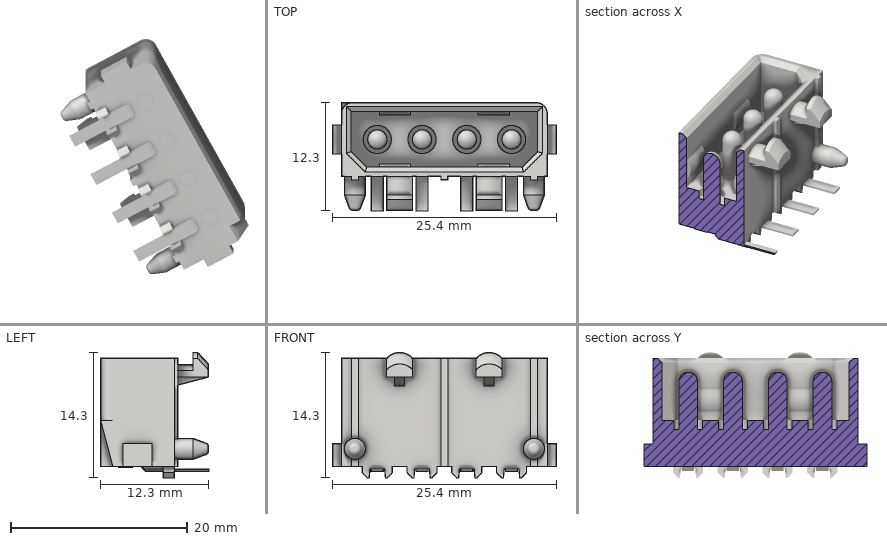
import cadquery as cq


overall_width = 25.4
ear_length = 1.02
housing_width = overall_width - 2 * ear_length
housing_depth = 8.38
housing_height = 12.3
side_x = housing_width / 2
back_y = housing_depth / 2
front_y = -back_y
corner_radius = 1.27

shoulder_height = 5.24
undercut_depth = 1.39
undercut_width = 2.0

floor_height = shoulder_height
cavity_half_width = 10.58
cavity_back_y = 3.18
cavity_front_y = -3.15
cavity_corner = 1.76
rim_corner = 2.15
lead_in_width = 0.56
lead_in_depth = 0.5

pitch = 5.08
contact_xs = [pitch * (i - 1.5) for i in range(4)]
pin_radius = 1.09
pin_tip_height = 10.73
pin_recess_radius = 1.6
pin_recess_depth = 1.0
tail_width = 1.38
tail_thickness = 0.25
tail_bend = 0.45
tail_back_y = -0.44
tail_front_y = -8.13

foot_half_width = 1.72
foot_depth = 1.3
foot_height = 1.32
foot_shoulder = 0.7
foot_tip_inner = 0.92
foot_slot_half_width = 0.82
web_height = 0.3
web_back_y = -0.7
pad_radius = 0.79
pad_height = 0.08
pad_y = 1.36

detent_xs = (-5.61, 5.61)
detent_length = 3.56
detent_bottom = 6.2
detent_top = 8.77
detent_rise = 0.39

rib_xs = (-2 * pitch, 0, 2 * pitch)
rib_width = 0.78
rib_depth = 0.39
ear_depth = 3.3
ear_height = 2.59
peg_xs = (-2 * pitch, 2 * pitch)
peg_z = 2.01
peg_radius = 1.2
peg_cone_y = -6.29
peg_tip_y = -8.05
peg_tip_radius = 0.55
peg_tip_fillet = 0.45

latch_xs = (-pitch, pitch)
latch_width = 2.96
latch_arch = 0.67
latch_bottom = 10.15
arm_top = 11.58
hook_top = 12.95
hook_back_y = -6.29
hook_crest_y = -6.83
hook_tip_y = -8.05
hook_tip_top = 11.65
gusset_width = 1.12
gusset_bottom = 9.14

overlap = 0.25


def box_between(x_range, y_range, z_range):
    """Axis-aligned box spanning the three ranges."""
    spans = [high - low for low, high in (x_range, y_range, z_range)]
    return cq.Workplane("XY").box(*spans, centered=False).translate((x_range[0], y_range[0], z_range[0]))


def centred_box(x, width, y_range, z_range):
    """Box centred on x with the given width."""
    return box_between((x - width / 2, x + width / 2), y_range, z_range)


def side_prism(x, width, points):
    """Prism along X, centred on x, with a (y, z) outline."""
    return cq.Workplane("YZ", origin=(x - width / 2, 0, 0)).polyline(points).close().extrude(width)


def make_housing():
    y_range = (front_y, back_y)
    lower = box_between((-side_x, side_x), y_range, (0, shoulder_height))
    lower = lower.edges("|Z and >X and >Y").fillet(corner_radius)
    upper = box_between((-side_x, side_x), y_range, (shoulder_height, housing_height))
    upper = upper.edges("|Z and >Y").fillet(corner_radius)
    undercut = side_prism(
        -side_x + undercut_width / 2,
        undercut_width,
        [(back_y, shoulder_height), (back_y, 0), (back_y - undercut_depth, 0)],
    )
    return lower.union(upper).cut(undercut)


def cavity_outline(z, corner, growth=0.0):
    """Rectangular wire at height z with its two front corners cut off at 45 degrees."""
    half_width = cavity_half_width + growth
    rear_y = cavity_back_y + growth
    face_y = cavity_front_y - growth
    points = [
        (-half_width, rear_y),
        (-half_width, face_y + corner),
        (-half_width + corner, face_y),
        (half_width - corner, face_y),
        (half_width, face_y + corner),
        (half_width, rear_y),
    ]
    return cq.Workplane("XY", origin=(0, 0, z)).polyline(points).close().wire().val()


def ruled_solid(first_wire, second_wire):
    return cq.Workplane(obj=cq.Solid.makeLoft([first_wire, second_wire], True))


def make_cavity():
    """Six-sided pocket with a flared lead-in at the rim."""
    lead_in_z = housing_height - lead_in_depth
    floor = cavity_outline(floor_height, cavity_corner)
    throat = cavity_outline(lead_in_z, cavity_corner)
    rim = cavity_outline(housing_height, rim_corner, lead_in_width)
    return ruled_solid(floor, throat).union(ruled_solid(throat, rim))


def make_detent(x, wall_y, inward):
    """Bump with a circular-segment section; inward is the Y direction it bulges."""
    middle_z = (detent_bottom + detent_top) / 2
    buried_y = wall_y - inward * overlap
    return (
        cq.Workplane("YZ", origin=(x - detent_length / 2, 0, 0))
        .moveTo(buried_y, detent_bottom)
        .lineTo(wall_y, detent_bottom)
        .threePointArc((wall_y + inward * detent_rise, middle_z), (wall_y, detent_top))
        .lineTo(buried_y, detent_top)
        .close()
        .extrude(detent_length)
    )


def make_pin_recess(x):
    plane = cq.Workplane("XY", origin=(x, 0, floor_height - pin_recess_depth))
    return plane.circle(pin_recess_radius).extrude(pin_recess_depth)


def make_contact(x):
    """Round-nosed pin and flat tail."""
    pin_base = floor_height - pin_recess_depth - overlap
    pin = cq.Workplane("XY", origin=(x, 0, pin_base)).circle(pin_radius).extrude(
        pin_tip_height - pin_radius - pin_base
    )
    nose = cq.Workplane("XY").sphere(pin_radius).translate((x, 0, pin_tip_height - pin_radius))
    tail_bottom = -web_height - tail_thickness
    tail = side_prism(x, tail_width, [
        (tail_back_y, overlap),
        (tail_back_y, tail_bottom + tail_bend),
        (tail_back_y - tail_bend, tail_bottom),
        (tail_front_y, tail_bottom),
        (tail_front_y, -web_height),
        (web_back_y, -web_height),
        (web_back_y, overlap),
    ])
    return pin.union(nose).union(tail)


def make_foot(x):
    """Pair of pointed standoffs joined by a thin web above the tail."""
    foot_tip_outer = foot_half_width - (foot_height - foot_shoulder)
    right_side = [
        (foot_slot_half_width, -web_height),
        (foot_tip_inner, -foot_height),
        (foot_tip_outer, -foot_height),
        (foot_half_width, -foot_shoulder),
        (foot_half_width, overlap),
    ]
    left_side = [(-x_offset, z) for x_offset, z in reversed(right_side)]
    plane = cq.Workplane("XZ", origin=(x, front_y + foot_depth, 0))
    feet = plane.polyline(left_side + right_side).close().extrude(foot_depth)
    web = centred_box(x, 2 * foot_slot_half_width, (front_y, web_back_y), (-web_height, overlap))
    pad_plane = cq.Workplane("XY", origin=(x, pad_y, -pad_height))
    pad = pad_plane.circle(pad_radius).extrude(pad_height + overlap)
    return feet.union(web).union(pad)


def make_rib(x):
    return centred_box(x, rib_width, (front_y - rib_depth, front_y + overlap), (0, housing_height))


def make_ears():
    return centred_box(0, overall_width, (-ear_depth / 2, ear_depth / 2), (0, ear_height))


def make_peg(x):
    """Cylindrical locating peg with a tapered, rounded tip."""
    base_y = front_y + overlap
    profile = [
        (0, base_y),
        (peg_radius, base_y),
        (peg_radius, peg_cone_y),
        (peg_tip_radius, peg_tip_y),
        (0, peg_tip_y),
    ]
    peg = cq.Workplane("XY").polyline(profile).close().revolve(360, (0, 0, 0), (0, 1, 0))
    return peg.faces("<Y").edges().fillet(peg_tip_fillet).translate((x, 0, peg_z))


def arched_section(x, y, top):
    """Wire in the XZ plane at y: flat bottom, upright sides, arched top."""
    half = latch_width / 2
    return (
        cq.Workplane("XZ", origin=(x, y, 0))
        .moveTo(-half, latch_bottom)
        .lineTo(half, latch_bottom)
        .lineTo(half, top - latch_arch)
        .threePointArc((0, top), (-half, top - latch_arch))
        .close()
        .wire()
        .val()
    )


def arched_bar(x, start, end):
    """Ruled bar between two arched sections, each given as (y, top)."""
    return ruled_solid(arched_section(x, *start), arched_section(x, *end))


def make_latch(x):
    arm = arched_bar(x, (front_y + overlap, arm_top), (hook_back_y, arm_top))
    crest = arched_bar(x, (hook_back_y, hook_top), (hook_crest_y, hook_top))
    nose = arched_bar(x, (hook_crest_y, hook_top), (hook_tip_y, hook_tip_top))
    gusset = side_prism(x, gusset_width, [
        (front_y, gusset_bottom),
        (hook_tip_y, latch_bottom),
        (front_y, latch_bottom),
    ])
    return arm.union(crest).union(nose).union(gusset)


body = make_housing().union(make_ears()).cut(make_cavity())
for rib_x in rib_xs:
    body = body.union(make_rib(rib_x))
for peg_x in peg_xs:
    body = body.union(make_peg(peg_x))
for latch_x in latch_xs:
    body = body.union(make_latch(latch_x))
for detent_x in detent_xs:
    body = body.union(make_detent(detent_x, cavity_back_y, -1))
    body = body.union(make_detent(detent_x, cavity_front_y, 1))
for contact_x in contact_xs:
    body = body.cut(make_pin_recess(contact_x))
    body = body.union(make_contact(contact_x))
    body = body.union(make_foot(contact_x))

result = body